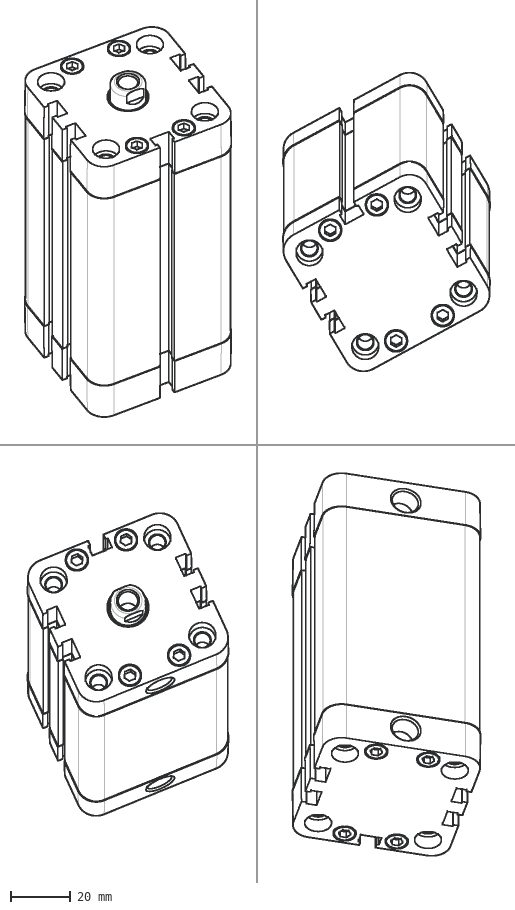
import cadquery as cq
import math

total_height = 122.0
rod_reach = 7.1
cap_height = 14.5
cap_top = total_height - rod_reach
barrel_height = cap_top - 2 * cap_height
barrel_top = cap_height + barrel_height

cap_width = 54.8
barrel_width = 54.3
cap_face_width = 54.4
corner_radius = 6.6
flare = (cap_width - cap_face_width) / 2
cap_corner_radius = corner_radius + flare
cap_taper = math.degrees(math.atan(flare / cap_height))

slot_depth = 5.2
lip_thickness = 1.8
slot_mouth = 5.4
slot_width = 7.0
slot_offset = 6.3
cap_slot_clearance = 0.1

port_diameter = 9.0
port_mouth_diameter = 10.5
port_chamfer = (port_mouth_diameter - port_diameter) / 2
port_end_distance = 7.9
port_floor_diameter = 40.0

mount_offset = 19.0
mount_bore_diameter = 9.0
mount_bore_depth = 5.0
mount_hole_diameter = 5.2
mount_mouth_diameter = 5.9

screw_x = 22.5
screw_y = 9.0
screw_ring_outer = 7.7
screw_ring_inner = 7.1
screw_ring_depth = 0.5
socket_flats = 3.7
socket_depth = 2.5

rod_diameter = 12.0
rod_edge_radius = 1.3
rod_flats = 10.0
flat_length = 4.4
rod_bore_diameter = 6.6
rod_bore_mouth = 7.7
rod_bore_depth = 12.2
wiper_mouth = 14.0
wiper_recess_diameter = 13.7
wiper_recess_depth = 0.4
wiper_diameter = 12.6
wiper_depth = 1.5


def cylinder(diameter, height, base_z):
    return cq.Workplane("XY").workplane(offset=base_z).circle(diameter / 2).extrude(height)


def cone_cutter(hole_diameter, mouth_diameter, mouth_z):
    """45 degree countersink that widens upwards and ends at mouth_z."""
    depth = (mouth_diameter - hole_diameter) / 2
    base = cq.Vector(0, 0, mouth_z - depth)
    return cq.Workplane(cq.Solid.makeCone(hole_diameter / 2, mouth_diameter / 2, depth, base))


def t_slot(side_angle, offset, clearance):
    """Full-length cutter opening on the +Y side, shifted along that side, then turned about Z."""
    floor_y = barrel_width / 2 - slot_depth - clearance
    lip_y = barrel_width / 2 - lip_thickness + clearance
    open_end_y = cap_width
    half_width = slot_width / 2 + clearance
    half_mouth = slot_mouth / 2 + clearance
    cutter = (
        cq.Workplane("XY")
        .moveTo(-half_width, floor_y)
        .lineTo(half_width, floor_y)
        .lineTo(half_width, lip_y)
        .lineTo(half_mouth, lip_y)
        .lineTo(half_mouth, open_end_y)
        .lineTo(-half_mouth, open_end_y)
        .lineTo(-half_mouth, lip_y)
        .lineTo(-half_width, lip_y)
        .close()
        .extrude(total_height)
    )
    return cutter.translate((offset, 0, 0)).rotate((0, 0, 0), (0, 0, 1), side_angle)


def cut_slots(body, clearance=0):
    """Two slots each in the +Y and -Y sides and one in the middle of the +X side."""
    for side_angle in (0, 180):
        for offset in (-slot_offset, slot_offset):
            body = body.cut(t_slot(side_angle, offset, clearance))
    return body.cut(t_slot(-90, 0, clearance))


def make_barrel():
    block = (
        cq.Workplane("XY")
        .workplane(offset=cap_height)
        .rect(barrel_width, barrel_width)
        .extrude(barrel_height)
        .edges("|Z")
        .fillet(corner_radius)
    )
    return cut_slots(block)


def port_cutter():
    """Chamfered hole from the -X side that stops on a cylinder about the Z axis."""
    mouth_x = -(cap_face_width / 2 + flare * port_end_distance / cap_height)
    port_z = cap_height - port_end_distance
    plane = cq.Plane(origin=(mouth_x, 0, port_z), xDir=(0, 1, 0), normal=(1, 0, 0))
    hole = cq.Workplane(plane).circle(port_diameter / 2).extrude(-mouth_x)
    cone = (
        cq.Workplane(plane)
        .circle(port_mouth_diameter / 2)
        .workplane(offset=port_chamfer)
        .circle(port_diameter / 2)
        .loft()
    )
    entry = cq.Workplane(plane).circle(port_mouth_diameter / 2).extrude(-flare)
    return hole.cut(cylinder(port_floor_diameter, cap_height, 0)).union(cone).union(entry)


def mount_points():
    return [(x, y) for x in (-mount_offset, mount_offset) for y in (-mount_offset, mount_offset)]


def screw_points():
    return [(x, y) for x in (-screw_x, screw_x) for y in (-screw_y, screw_y)]


def mount_hole_cutter():
    bore_floor = cap_height - mount_bore_depth
    bore = cylinder(mount_bore_diameter, mount_bore_depth, bore_floor)
    hole = cylinder(mount_hole_diameter, bore_floor, 0)
    countersink = cone_cutter(mount_hole_diameter, mount_mouth_diameter, bore_floor)
    return bore.union(hole).union(countersink)


def screw_cutter():
    """Ring gap around the screw head and the hexagon socket in it."""
    ring = cylinder(screw_ring_outer, screw_ring_depth, cap_height - screw_ring_depth).cut(
        cylinder(screw_ring_inner, cap_height, 0)
    )
    socket = (
        cq.Workplane("XY")
        .workplane(offset=cap_height - socket_depth)
        .polygon(6, socket_flats, circumscribed=True)
        .extrude(socket_depth)
    )
    return ring.union(socket)


def make_cap():
    """End cap standing on Z = 0 with its outer face upwards."""
    cap = (
        cq.Workplane("XY")
        .sketch()
        .rect(cap_width, cap_width)
        .vertices()
        .fillet(cap_corner_radius)
        .finalize()
        .extrude(cap_height, taper=cap_taper)
    )
    cap = cut_slots(cap, cap_slot_clearance).cut(port_cutter())
    for x, y in mount_points():
        cap = cap.cut(mount_hole_cutter().translate((x, y, 0)))
    for x, y in screw_points():
        cap = cap.cut(screw_cutter().translate((x, y, 0)))
    return cap


def make_front_cap():
    passage = cylinder(rod_diameter, cap_height, 0)
    wiper = cylinder(wiper_diameter, wiper_depth, cap_height - wiper_depth)
    recess = cylinder(wiper_recess_diameter, wiper_recess_depth, cap_height - wiper_recess_depth)
    edge = cone_cutter(wiper_recess_diameter, wiper_mouth, cap_height)
    return make_cap().cut(passage).cut(wiper).cut(recess).cut(edge).translate((0, 0, barrel_top))


def make_rear_cap():
    return make_cap().mirror("XY").translate((0, 0, cap_height))


def make_rod():
    rod = cylinder(rod_diameter, total_height - barrel_top, barrel_top)
    rod = rod.faces(">Z").edges().fillet(rod_edge_radius)
    flat_z = total_height - flat_length
    slope = (rod_diameter - rod_flats) / 2
    for side in (-1, 1):
        flat = (
            cq.Workplane("XZ")
            .moveTo(side * rod_flats / 2, total_height)
            .lineTo(side * rod_flats / 2, flat_z)
            .lineTo(side * (rod_flats / 2 + slope), flat_z - slope)
            .lineTo(side * (rod_flats / 2 + slope), total_height)
            .close()
            .extrude(rod_diameter / 2, both=True)
        )
        rod = rod.cut(flat)
    rod = rod.cut(cylinder(rod_bore_diameter, rod_bore_depth, total_height - rod_bore_depth))
    return rod.cut(cone_cutter(rod_bore_diameter, rod_bore_mouth, total_height))


barrel = make_barrel()
front_cap = make_front_cap()
rear_cap = make_rear_cap()
rod = make_rod()

result = cq.Compound.makeCompound([barrel.val(), front_cap.val(), rear_cap.val(), rod.val()])